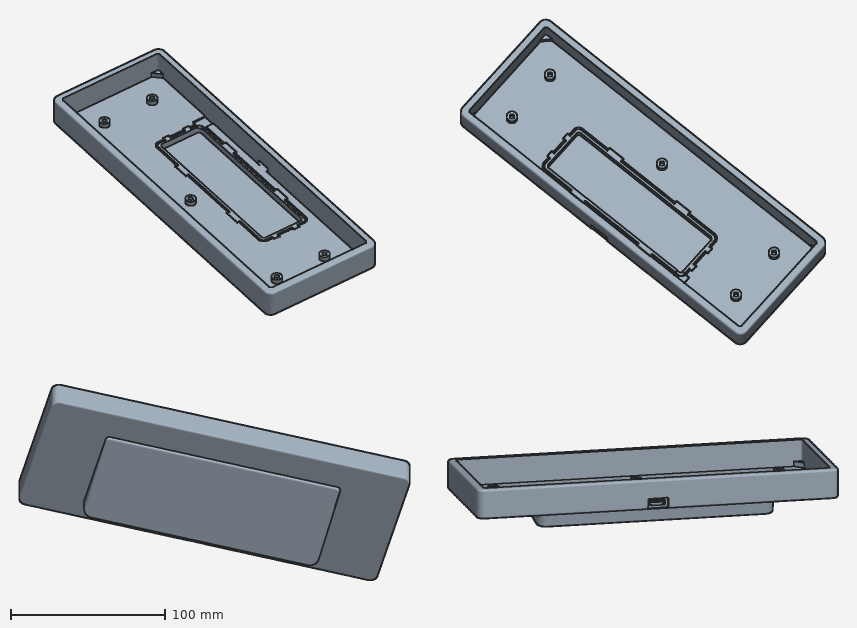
import cadquery as cq
import math

tray_length = 241.0
tray_width = 87.5
tray_height = 19.5
wall = 5.0
floor = 2.0
tray_corner_radius = 5.0
cavity_corner_radius = 1.5
tray_edge_fillet = 1.5
cavity_length = tray_length - 2 * wall
cavity_width = tray_width - 2 * wall

key_pitch = 19.0
boss_diameter = 7.0
screw_hole_diameter = 3.1
support_height = 3.4
gusset_leg = 5.5
boss_x = 5 * key_pitch
boss_y = key_pitch
boss_places = [(side * boss_x, row * boss_y) for side in (-1, 1) for row in (-1, 1)]
boss_places.append((0, -boss_y))

port_x = 0.2
port_width = 10.4
port_height = 3.5
port_corner_radius = 1.5
port_recess_margin = 1.7
port_recess_depth = 2.7

foot_x = -0.6
foot_length = 157.7
foot_depth = 60.5
foot_tilt = math.radians(7.9)
foot_drop = 10.1
foot_back_y = 34.7
foot_back_radius = 6.0
foot_front_radius = 2.5
foot_edge_fillet = 1.5
sharp_drop = foot_drop + foot_edge_fillet * (math.sin(foot_tilt) + math.cos(foot_tilt) - 1)

plug_y = 14.0
plug_length = 118.1
plug_width = 35.7
plug_wall = 2.0
plug_corner_radius = 3.0
pocket_corner_radius = 2.0
pocket_depth = 4.8

tab_reach = 2.3
long_tab_length = 11.3
long_tab_offset = 28.5
short_tab_length = 4.0
short_tab_offset = 8.0

clearance = 0.2
opening_chamfer = 1.0

channel_left = -63.7
channel_right = -54.7
channel_front = 28.7
channel_depth = 1.0


def rounded_block(length, width, height, radius, bottom=0.0):
    """A block centred on the Z axis with rounded upright edges."""
    block = cq.Workplane("XY").workplane(offset=bottom).rect(length, width).extrude(height)
    return block.edges("|Z").fillet(radius)


def plug_outline(gap, height):
    """The plug's rounded block, grown by a gap on every side."""
    block = rounded_block(plug_length + 2 * gap, plug_width + 2 * gap, height, plug_corner_radius + gap)
    return block.translate((foot_x, plug_y, 0))


def plug_tabs(gap):
    """Crossing bars whose ends stand out of the plug as tabs, grown by a gap on every side."""
    bar_length = plug_length + 2 * (tab_reach + gap)
    bar_width = plug_width + 2 * (tab_reach + gap)
    center = cq.Workplane("XY").center(foot_x, plug_y)
    across = center.pushPoints([(-long_tab_offset, 0), (long_tab_offset, 0)])
    across = across.rect(long_tab_length + 2 * gap, bar_width).extrude(floor)
    along = center.pushPoints([(0, -short_tab_offset), (0, short_tab_offset)])
    along = along.rect(bar_length, short_tab_length + 2 * gap).extrude(floor)
    return across.union(along)


def channel_cutter(gap):
    """The channel's corner box, grown by a gap on its right and front sides."""
    size_x = channel_right + gap - channel_left
    size_y = cavity_width / 2 - channel_front + gap
    box = cq.Workplane("XY").box(size_x, size_y, channel_depth, centered=False)
    return box.translate((channel_left, channel_front - gap, floor - channel_depth))


def corner_gussets():
    """Low triangular supports in the four corners of the cavity."""
    gussets = cq.Workplane("XY").workplane(offset=floor)
    for side_x in (-1, 1):
        for side_y in (-1, 1):
            x = side_x * cavity_length / 2
            y = side_y * cavity_width / 2
            outline = [(x - side_x * gusset_leg, y), (x, y), (x, y - side_y * gusset_leg)]
            gussets = gussets.polyline(outline).close()
    return gussets.extrude(support_height)


def floor_opening():
    """The cutter for the plug's opening, with a chamfer at the floor's top and notches for the tabs."""
    lead_in = plug_outline(clearance + opening_chamfer, floor)
    lead_in = lead_in.faces("<Z").edges().chamfer(opening_chamfer)
    lead_in = lead_in.translate((0, 0, floor - opening_chamfer))
    return plug_outline(clearance, floor).union(lead_in).union(plug_tabs(clearance))


def port_block(margin, front, depth):
    """A rounded block along Y on the port's axis, larger than the port by a margin on every side."""
    width = port_width + 2 * margin
    height = port_height + 2 * margin
    block = cq.Workplane("XY").box(width, depth, height).edges("|Y").fillet(port_corner_radius)
    return block.translate((port_x, front + depth / 2, floor + port_height / 2))


def cable_port():
    """The port through the wall, with a wider recess outside for the cable's plug."""
    through = port_block(0, cavity_width / 2, wall)
    recess = port_block(port_recess_margin, tray_width / 2 - port_recess_depth, port_recess_depth)
    return through.union(recess)


def make_tray():
    tray = rounded_block(tray_length, tray_width, tray_height, tray_corner_radius)
    tray = tray.faces("<Z or >Z").edges().fillet(tray_edge_fillet)
    tray = tray.cut(rounded_block(cavity_length, cavity_width, tray_height, cavity_corner_radius, floor))
    floor_plane = cq.Workplane("XY").workplane(offset=floor)
    bosses = floor_plane.pushPoints(boss_places).circle(boss_diameter / 2)
    bosses = bosses.circle(screw_hole_diameter / 2).extrude(support_height)
    tray = tray.union(bosses).union(corner_gussets())
    return tray.cut(floor_opening()).cut(channel_cutter(0)).cut(cable_port())


def tilted_wedge():
    """A rounded block square to the tilted sole, trimmed level at the tray's underside."""
    upright = cq.Vector(0, math.sin(foot_tilt), math.cos(foot_tilt))
    sole = cq.Plane(origin=(foot_x, foot_back_y, -sharp_drop), xDir=(1, 0, 0), normal=upright)
    block = cq.Workplane(sole).center(0, -foot_depth / 2).rect(foot_length, foot_depth).extrude(2 * foot_drop)
    upright_edges = cq.selectors.ParallelDirSelector(upright)
    block = block.edges(upright_edges).edges(">Y").fillet(foot_back_radius)
    block = block.edges(upright_edges).edges("<Y").fillet(foot_front_radius)
    block = block.faces("<Z").edges().fillet(foot_edge_fillet)
    trim = cq.Workplane("XY").rect(2 * foot_length, 4 * foot_depth).extrude(4 * foot_drop)
    return block.cut(trim)


def make_foot():
    foot = tilted_wedge().union(plug_outline(0, floor)).union(plug_tabs(0))
    pocket = rounded_block(
        plug_length - 2 * plug_wall,
        plug_width - 2 * plug_wall,
        pocket_depth,
        pocket_corner_radius,
        floor - pocket_depth,
    )
    return foot.cut(pocket.translate((foot_x, plug_y, 0))).cut(channel_cutter(clearance))


tray = make_tray()
foot = make_foot()
result = cq.Compound.makeCompound([tray.val(), foot.val()])